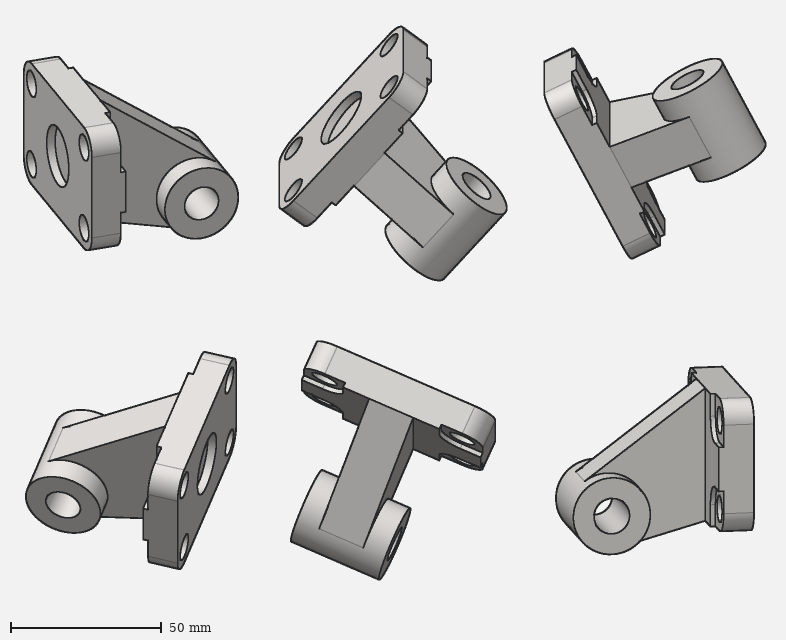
import cadquery as cq
import math

plate_width = 65.0
plate_height = 45.0
plate_thickness = 12.0
corner_radius = 7.5

bolt_hole_diameter = 9.0
bolt_spacing_x = plate_width - 2 * corner_radius
bolt_spacing_z = plate_height - 2 * corner_radius

relief_size = 2 * corner_radius
relief_depth = 1.7

recess_diameter = 21.0
recess_depth = 3.0

hub_diameter = 26.0
hub_radius = hub_diameter / 2
hub_length = 32.0
hub_bore_diameter = 12.0
hub_y = 45.0
hub_height_above_plate_bottom = 4.5
hub_z = hub_height_above_plate_bottom - plate_height / 2

web_thickness = 16.0


def make_plate():
    """Rounded plate extruded from Y = 0 toward +Y."""
    block = cq.Workplane("XZ").rect(plate_width, plate_height).extrude(-plate_thickness)
    return block.edges("|Y").fillet(corner_radius)


def make_corner_reliefs():
    """Square pockets open to the plate edges, with only the inner corner rounded."""
    reliefs = cq.Workplane("XY")
    back_plane = cq.Workplane("XZ", origin=(0, plate_thickness - relief_depth, 0))
    for side_x in (-1, 1):
        for side_z in (-1, 1):
            center_x = side_x * (plate_width - relief_size) / 2
            center_z = side_z * (plate_height - relief_size) / 2
            inward_x = "<X" if side_x > 0 else ">X"
            inward_z = "<Z" if side_z > 0 else ">Z"
            pocket = (
                back_plane.center(center_x, center_z)
                .rect(relief_size, relief_size)
                .extrude(-relief_depth)
                .edges("|Y")
                .edges(inward_x)
                .edges(inward_z)
                .fillet(corner_radius)
            )
            reliefs = reliefs.add(pocket)
    return reliefs.combine()


def tangent_point(y, z, side):
    """Point where a line from (y, z) touches the hub; side +1 is the upper line, -1 the lower."""
    distance = math.hypot(y - hub_y, z - hub_z)
    direction = math.atan2(z - hub_z, y - hub_y)
    angle = direction - side * math.acos(hub_radius / distance)
    return hub_y + hub_radius * math.cos(angle), hub_z + hub_radius * math.sin(angle)


def make_web():
    """Web spanning the full plate height and running tangent to the hub."""
    top = (plate_thickness, plate_height / 2)
    bottom = (plate_thickness, -plate_height / 2)
    profile = [
        bottom,
        top,
        tangent_point(*top, 1),
        (hub_y, hub_z),
        tangent_point(*bottom, -1),
    ]
    side_plane = cq.Workplane("YZ", origin=(-web_thickness / 2, 0, 0))
    return side_plane.polyline(profile).close().extrude(web_thickness)


def make_hub_cylinder(diameter):
    """Cylinder on the pivot axis, as long as the hub."""
    end_plane = cq.Workplane("YZ", origin=(-hub_length / 2, hub_y, hub_z))
    return end_plane.circle(diameter / 2).extrude(hub_length)


def make_bolt_holes():
    """Four through holes at the plate corners."""
    return (
        cq.Workplane("XZ")
        .rect(bolt_spacing_x, bolt_spacing_z, forConstruction=True)
        .vertices()
        .circle(bolt_hole_diameter / 2)
        .extrude(-plate_thickness)
    )


def make_front_recess():
    """Shallow round recess in the middle of the front face."""
    return cq.Workplane("XZ").circle(recess_diameter / 2).extrude(-recess_depth)


plate = make_plate().cut(make_corner_reliefs()).cut(make_bolt_holes()).cut(make_front_recess())
bracket = plate.union(make_web()).union(make_hub_cylinder(hub_diameter))
result = bracket.cut(make_hub_cylinder(hub_bore_diameter))